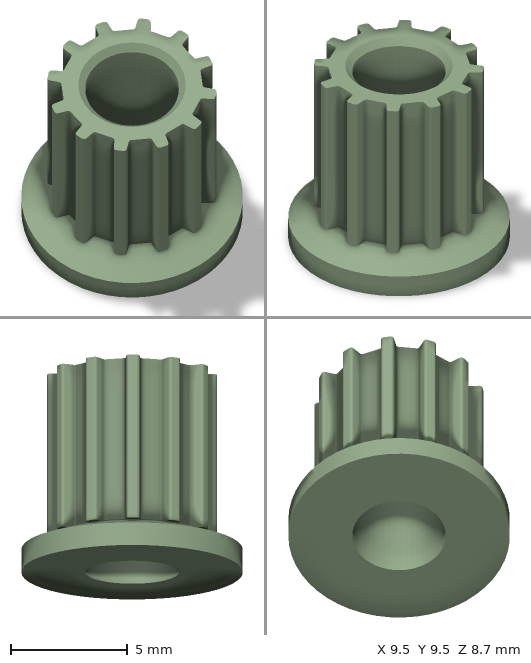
import cadquery as cq
import math

flange_radius = 4.75
flange_rim_height = 1.0
cone_top_radius = 3.37
cone_angle = 20.0

total_height = 8.7
tooth_count = 12
tip_radius = 3.64
tip_rounding = 0.13

floor_distance = 3.0
floor_half_width = 0.475
wall_angle = 20.0
floor_rounding = 0.12

bore_radius = 2.0
mouth_chamfer = 0.29

cone_height = (flange_radius - cone_top_radius) * math.tan(math.radians(cone_angle))
flange_height = flange_rim_height + cone_height
barrel_height = total_height - flange_height


def make_flange():
    """Revolve the half section of the flange about the Z axis."""
    return (
        cq.Workplane("XZ")
        .lineTo(flange_radius, 0)
        .lineTo(flange_radius, flange_rim_height)
        .lineTo(cone_top_radius, flange_height)
        .lineTo(0, flange_height)
        .close()
        .revolve(360, (0, 0), (0, 1))
    )


def make_groove():
    """Groove cutter above the flange, centred on the +X direction."""
    outer_distance = tip_radius + 2 * tip_rounding
    flare = (outer_distance - floor_distance) * math.tan(math.radians(wall_angle))
    outer_half_width = floor_half_width + flare
    return (
        cq.Workplane("XY")
        .workplane(offset=flange_height)
        .moveTo(floor_distance, -floor_half_width)
        .lineTo(outer_distance, -outer_half_width)
        .lineTo(outer_distance, outer_half_width)
        .lineTo(floor_distance, floor_half_width)
        .close()
        .extrude(barrel_height)
        .edges("|Z and <X")
        .fillet(floor_rounding)
    )


def make_barrel():
    """Cylinder with evenly spaced grooves and rounded tooth tips."""
    barrel = (
        cq.Workplane("XY")
        .workplane(offset=flange_height)
        .circle(tip_radius)
        .extrude(barrel_height)
    )
    groove = make_groove()
    for index in range(tooth_count):
        angle = index * 360 / tooth_count
        barrel = barrel.cut(groove.rotate((0, 0, 0), (0, 0, 1), angle))

    def is_tip_corner(edge):
        centre = edge.Center()
        return math.hypot(centre.x, centre.y) > cone_top_radius

    return barrel.edges("|Z").filter(is_tip_corner).fillet(tip_rounding)


def make_bore():
    """Through hole, widened at the top by a 45 degree chamfer."""
    return (
        cq.Workplane("XZ")
        .lineTo(bore_radius, 0)
        .lineTo(bore_radius, total_height - mouth_chamfer)
        .lineTo(bore_radius + mouth_chamfer, total_height)
        .lineTo(0, total_height)
        .close()
        .revolve(360, (0, 0), (0, 1))
    )


result = make_flange().union(make_barrel()).cut(make_bore())